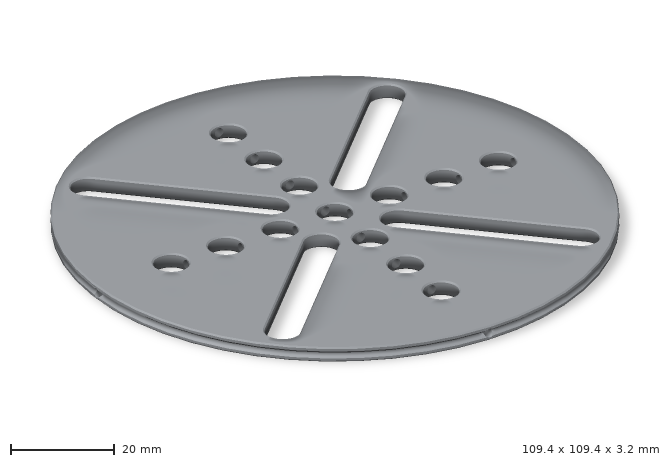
import cadquery as cq

plate_diameter = 109.4
plate_thickness = 3.2
edge_chamfer = 0.3

groove_width = 1.5
groove_depth = 1.0

hole_diameter = 7.0
holes_per_arm = 3
hole_span = 75.0
hole_pitch = hole_span / (2 * holes_per_arm)

slot_inner_radius = hole_pitch
slot_outer_radius = 48.5
slot_angles = (45, 135, 225, 315)

bore_diameter = 2.0
bore_overrun = 1.1

plate_radius = plate_diameter / 2
mid_height = plate_thickness / 2
bore_length = plate_diameter + 2 * bore_overrun


def make_disc():
    """Turned disc with the V-groove in its rim."""
    half_section = cq.Workplane("XZ").polyline([
        (0, 0),
        (plate_radius, 0),
        (plate_radius, mid_height - groove_width / 2),
        (plate_radius - groove_depth, mid_height),
        (plate_radius, mid_height + groove_width / 2),
        (plate_radius, plate_thickness),
        (0, plate_thickness),
    ]).close()
    return half_section.revolve(360, (0, 0, 0), (0, 1, 0))


def hole_positions():
    """Centre hole plus equally spaced holes along the X and Y axes."""
    positions = [(0, 0)]
    for step in range(1, holes_per_arm + 1):
        offset = step * hole_pitch
        positions += [(offset, 0), (-offset, 0), (0, offset), (0, -offset)]
    return positions


def cut_slot(plate, angle):
    """Cut a radial slot through the plate at the given angle from X."""
    slot_length = slot_outer_radius - slot_inner_radius + hole_diameter
    slot = (
        cq.Workplane("XY")
        .center((slot_outer_radius + slot_inner_radius) / 2, 0)
        .slot2D(slot_length, hole_diameter)
        .extrude(plate_thickness)
        .rotate((0, 0, 0), (0, 0, 1), angle)
    )
    return plate.cut(slot)


def cut_cross_bore(plate, direction):
    """Bore right across the plate at mid thickness, along the given direction."""
    mid_point = cq.Vector(0, 0, mid_height)
    start = mid_point - direction * (bore_length / 2)
    bore = (
        cq.Workplane(cq.Plane(start, xDir=(0, 0, 1), normal=direction))
        .circle(bore_diameter / 2)
        .extrude(bore_length)
    )
    return plate.cut(bore)


result = make_disc()

hole_cutters = (
    cq.Workplane("XY")
    .pushPoints(hole_positions())
    .circle(hole_diameter / 2)
    .extrude(plate_thickness)
)
result = result.cut(hole_cutters)
for slot_angle in slot_angles:
    result = cut_slot(result, slot_angle)

result = result.faces("<Z or >Z").chamfer(edge_chamfer)

for bore_direction in (cq.Vector(1, 0, 0), cq.Vector(0, 1, 0)):
    result = cut_cross_bore(result, bore_direction)